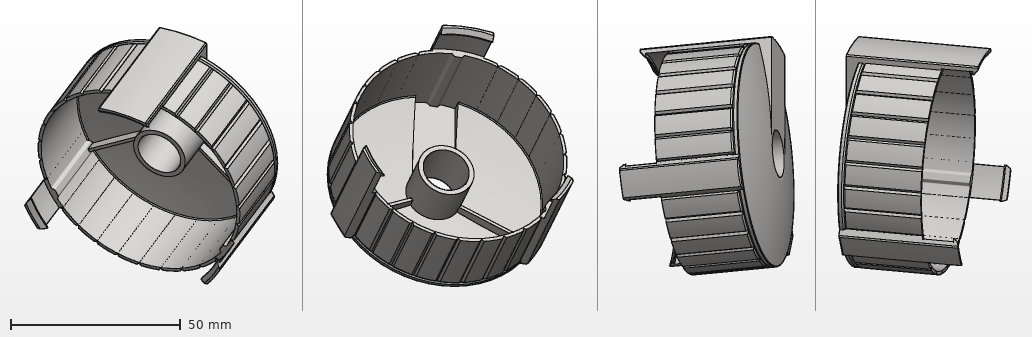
import cadquery as cq
import math


drum_radius = 33.2
drum_inner_radius = 32.2
drum_depth = 29.0
rim_depth = 3.7
rim_chamfer = 0.25
wall_chamfer = 0.35

dome_edge_radius = drum_radius - rim_chamfer
dome_sphere_radius = 137.0
dome_thickness = 1.5

boss_radius = 17.0 / 2
bore_radius = 14.0 / 2
boss_depth = 15.5
boss_ledge_radius = 9.06

ring_groove_depth = 5.45
ring_groove_half_width = 0.5
flute_half_width = 0.7
flute_height = 0.7
flute_pitch = 12.65
flutes_each_side = 4
sector_angles = (30, 150, 270)

narrow_clip_angles = (210, 330)
clip_end_depth = 40.0
clip_outer_reach = 34.9
clip_outer_curve_radius = 48.0
clip_inner_radius = 33.6
clip_edge_chamfer = 0.4
clip_root_radius = 32.7
wide_clip_width = 15.8
narrow_clip_width = 9.0
narrow_clip_flare_angle = 27
narrow_clip_start_depth = 3.8
narrow_clip_end_chamfer = 0.5
hook_radius = 32.7
hook_land = 0.4
hook_lead_in = 1.2
hook_tip_radius = 34.15

channel_width = 13.0

floor_rib_width = 1.0
floor_rib_boss_depth = 4.0
floor_rib_wall_depth = 8.0
wall_rib_root_width = 3.9
wall_rib_tip_width = 2.2
wall_rib_height = 0.95
wall_rib_fillet = 0.2
wall_rib_foot_width = 5.2

overlap = 0.3


def sphere_drop(radius):
    """Axial drop of the dome sphere at a distance from the axis."""
    return dome_sphere_radius - math.sqrt(dome_sphere_radius**2 - radius**2)


def dome_depth(radius, start_radius, start_depth):
    """Depth of a dome surface that passes through a given starting circle."""
    return start_depth + sphere_drop(radius) - sphere_drop(start_radius)


def cross_section(depth):
    """Sketch plane across the axis; positive extrusion runs toward the mouth."""
    return cq.Workplane("XZ", origin=(0, -depth, 0))


def around_axis(solid, angle):
    """Turn a solid built at the +Z side to an angle measured from +X toward +Z."""
    return solid.rotate((0, 0, 0), (0, 1, 0), 90 - angle)


def revolve_about_axis(profile):
    return profile.close().revolve(360, (0, 0, 0), (0, 1, 0))


def make_envelope():
    """Outside of the drum and dome, solid except for the bore."""
    middle = (boss_radius + dome_edge_radius) / 2
    middle_depth = dome_depth(middle, boss_radius, 0)
    groove_top = ring_groove_depth - ring_groove_half_width
    groove_bottom = ring_groove_depth + ring_groove_half_width
    profile = (
        cq.Workplane("XY")
        .moveTo(bore_radius, 0)
        .lineTo(boss_radius, 0)
        .threePointArc((middle, -middle_depth), (dome_edge_radius, -rim_depth))
        .lineTo(drum_radius, -rim_depth - rim_chamfer)
        .lineTo(drum_radius, -groove_top)
        .lineTo(drum_radius - ring_groove_half_width, -ring_groove_depth)
        .lineTo(drum_radius, -groove_bottom)
        .lineTo(drum_radius, -drum_depth)
        .lineTo(bore_radius, -drum_depth)
    )
    return revolve_about_axis(profile)


def make_interior():
    """Hollow around the boss, open at the drum mouth."""
    edge = drum_inner_radius - wall_chamfer
    edge_depth = dome_depth(edge, boss_ledge_radius, dome_thickness)
    middle = (boss_ledge_radius + edge) / 2
    middle_depth = dome_depth(middle, boss_ledge_radius, dome_thickness)
    profile = (
        cq.Workplane("XY")
        .moveTo(boss_radius, -dome_thickness)
        .lineTo(boss_ledge_radius, -dome_thickness)
        .threePointArc((middle, -middle_depth), (edge, -edge_depth))
        .lineTo(drum_inner_radius, -edge_depth - wall_chamfer)
        .lineTo(drum_inner_radius, -drum_depth)
        .lineTo(0, -drum_depth)
        .lineTo(0, -boss_depth)
        .lineTo(boss_radius, -boss_depth)
    )
    return revolve_about_axis(profile)


def cut_flutes(body):
    """Cut the lengthwise V grooves, in one group centred between each pair of clips."""
    flute = (
        cross_section(ring_groove_depth)
        .moveTo(0, drum_radius - flute_height)
        .lineTo(2 * flute_half_width, drum_radius + flute_height)
        .lineTo(-2 * flute_half_width, drum_radius + flute_height)
        .close()
        .extrude(drum_depth - ring_groove_depth)
    )
    for sector_angle in sector_angles:
        for step in range(-flutes_each_side, flutes_each_side + 1):
            body = body.cut(around_axis(flute, sector_angle + step * flute_pitch))
    return body


def clip_block(width, root, start, end, flare=0):
    """Prism with a curved, edge-chamfered outer face, its sides flaring out toward the root."""
    half = width / 2
    shoulder = half - clip_edge_chamfer
    curve_drop = clip_outer_curve_radius - math.sqrt(clip_outer_curve_radius**2 - shoulder**2)
    shoulder_height = clip_outer_reach - curve_drop
    side_height = shoulder_height - clip_edge_chamfer
    root_half = half + (side_height - root) * math.tan(math.radians(flare))
    return (
        cross_section(start)
        .moveTo(-root_half, root)
        .lineTo(-half, side_height)
        .lineTo(-shoulder, shoulder_height)
        .threePointArc((0, clip_outer_reach), (shoulder, shoulder_height))
        .lineTo(half, side_height)
        .lineTo(root_half, root)
        .close()
        .extrude(end - start)
    )


def clip_clearance():
    """Space inside the clip arms beyond the drum mouth, shaped to leave the hooks."""
    land_end = clip_end_depth - hook_lead_in
    land_start = land_end - hook_land
    profile = (
        cq.Workplane("XY")
        .moveTo(0, -drum_depth)
        .lineTo(clip_inner_radius, -drum_depth)
        .lineTo(clip_inner_radius, -land_start)
        .lineTo(hook_radius, -land_start)
        .lineTo(hook_radius, -land_end)
        .lineTo(hook_tip_radius, -clip_end_depth)
        .lineTo(0, -clip_end_depth)
    )
    return revolve_about_axis(profile)


def narrow_clip():
    """Clip whose outer face is also chamfered at its dome end."""
    root = math.sqrt(clip_root_radius**2 - (narrow_clip_width / 2) ** 2)
    clip = clip_block(narrow_clip_width, root, narrow_clip_start_depth, clip_end_depth, narrow_clip_flare_angle)
    corner = (
        cq.Workplane("YZ", origin=(-narrow_clip_width / 2, 0, 0))
        .moveTo(-narrow_clip_start_depth, clip_outer_reach)
        .lineTo(-narrow_clip_start_depth - narrow_clip_end_chamfer, clip_outer_reach)
        .lineTo(-narrow_clip_start_depth, clip_outer_reach - narrow_clip_end_chamfer)
        .close()
        .extrude(narrow_clip_width)
    )
    return clip.cut(corner)


def wide_clip():
    """Clip and the bridge that carries it from the boss across the dome."""
    block = clip_block(wide_clip_width, 0, 0, clip_end_depth)
    bore = cross_section(0).circle(bore_radius).extrude(clip_end_depth)
    return block.cut(bore)


def bridge_channel():
    """Flat-floored hollow under the bridge, from the boss to the drum wall."""
    depth = drum_depth - dome_thickness
    strip = (
        cross_section(dome_thickness)
        .center(0, drum_radius / 2)
        .rect(channel_width, drum_radius)
        .extrude(depth)
    )
    annulus = cross_section(dome_thickness).circle(drum_inner_radius).circle(boss_radius).extrude(depth)
    return strip.intersect(annulus)


def wall_rib():
    """Rounded trapezoidal rib along the inside of the drum wall, on a foot sunk in the wall."""
    tip_half = wall_rib_tip_width / 2
    root_half = wall_rib_root_width / 2
    foot_half = wall_rib_foot_width / 2
    tip_height = drum_inner_radius - wall_rib_height
    root_height = math.sqrt(drum_inner_radius**2 - (root_half + wall_rib_fillet) ** 2)
    foot_height = drum_inner_radius + 2 * overlap
    return (
        cross_section(dome_thickness)
        .moveTo(-tip_half, tip_height)
        .lineTo(tip_half, tip_height)
        .lineTo(root_half, root_height)
        .lineTo(foot_half, root_height)
        .lineTo(foot_half, foot_height)
        .lineTo(-foot_half, foot_height)
        .lineTo(-foot_half, root_height)
        .lineTo(-root_half, root_height)
        .close()
        .extrude(drum_depth - dome_thickness)
        .edges("|Y")
        .fillet(wall_rib_fillet)
    )


def floor_rib():
    """Thin radial rib on the dome floor with a straight sloping top, from the boss to the wall rib."""
    return (
        cq.Workplane("YZ", origin=(-floor_rib_width / 2, 0, 0))
        .moveTo(0, boss_radius - overlap)
        .lineTo(-floor_rib_boss_depth, boss_radius - overlap)
        .lineTo(-floor_rib_wall_depth, drum_inner_radius)
        .lineTo(0, drum_inner_radius)
        .close()
        .extrude(floor_rib_width)
    )


interior = make_interior()
channel = bridge_channel()

result = cut_flutes(make_envelope()).union(wide_clip())
for angle in narrow_clip_angles:
    result = result.union(around_axis(narrow_clip(), angle))
result = result.cut(interior).cut(channel).cut(clip_clearance())

for angle in narrow_clip_angles:
    ribs = floor_rib().union(wall_rib())
    result = result.union(around_axis(ribs, angle).intersect(interior))
result = result.union(wall_rib())